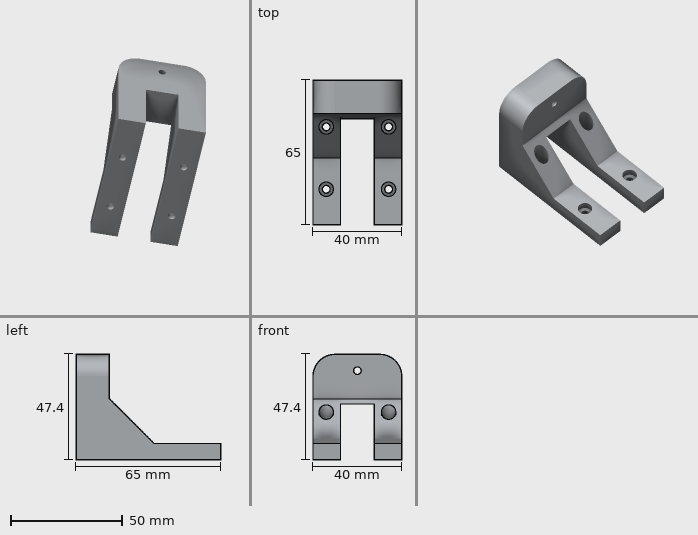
import cadquery as cq

width = 40.0
length = 65.0
arm_thickness = 7.4
block_depth = 15.0
slope_run = 20.0
block_face_height = 20.0
corner_radius = 10.0
height = arm_thickness + slope_run + block_face_height

passage_width = 15.0
passage_height = 25.0

hole_spacing = 28.0
rear_hole_from_back = 21.0
mount_hole_diameter = 3.4
counterbore_diameter = 6.5
counterbore_floor = 4.0

block_hole_diameter = 3.3
block_hole_height = 40.0

back = length / 2
front = -length / 2
block_face = back - block_depth
slope_foot = block_face - slope_run


def make_body():
    """Side profile extruded across the width, with the upper corners rounded."""
    profile = [
        (front, 0),
        (back, 0),
        (back, height),
        (block_face, height),
        (block_face, arm_thickness + slope_run),
        (slope_foot, arm_thickness),
        (front, arm_thickness),
    ]
    body = cq.Workplane("YZ").polyline(profile).close().extrude(width / 2, both=True)
    top_corners = body.faces(">Z").edges("|Y")
    return top_corners.fillet(corner_radius)


def make_passage():
    """Rectangular cutter along the whole length that separates the arms."""
    return cq.Workplane("XY").box(passage_width, length, passage_height, centered=(True, True, False))


def make_mount_holes():
    """Vertical through holes with counterbores open to the top."""
    rear_row = back - rear_hole_from_back
    front_row = rear_row - hole_spacing
    half_spacing = hole_spacing / 2
    centres = [(x, y) for x in (-half_spacing, half_spacing) for y in (rear_row, front_row)]
    through = cq.Workplane("XY").pushPoints(centres).circle(mount_hole_diameter / 2).extrude(height)
    counterbores = (
        cq.Workplane("XY", origin=(0, 0, counterbore_floor))
        .pushPoints(centres)
        .circle(counterbore_diameter / 2)
        .extrude(height)
    )
    return through.union(counterbores)


def make_block_hole():
    """Horizontal hole through the upright block, along Y."""
    return (
        cq.Workplane("XZ", origin=(0, back, block_hole_height))
        .circle(block_hole_diameter / 2)
        .extrude(length)
    )


result = make_body().cut(make_passage()).cut(make_mount_holes()).cut(make_block_hole())